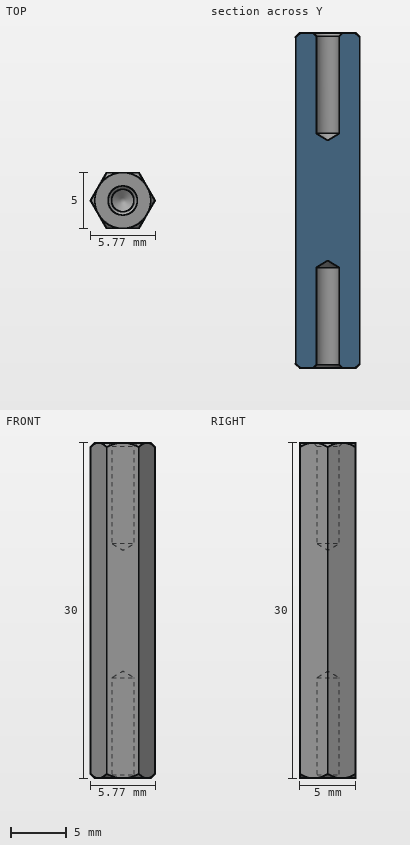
import cadquery as cq
import math

length = 30.0
across_flats = length / 6
across_corners = across_flats / math.cos(math.radians(30))

chamfer_angle = 45.0
end_face_radius = across_flats / 2
corner_radius = across_corners / 2
chamfer_height = (corner_radius - end_face_radius) * math.tan(math.radians(chamfer_angle))

hole_radius = 2.0 / 2
mouth_radius = 2.6 / 2
mouth_depth = mouth_radius - hole_radius
hole_depth = 9.0
drill_point_angle = 118.0
drill_point_depth = hole_radius / math.tan(math.radians(drill_point_angle / 2))


def revolve_profile(points):
    """Turn a closed (radius, height) outline about the Z axis."""
    return cq.Workplane("XZ").polyline(points).close().revolve(360, (0, 0), (0, 1))


def hex_body():
    """Hexagonal bar with its corners turned down at both ends."""
    half = length / 2
    bar = cq.Workplane("XY").polygon(6, across_corners).extrude(half, both=True)
    envelope = revolve_profile([
        (0, -half),
        (end_face_radius, -half),
        (corner_radius, -half + chamfer_height),
        (corner_radius, half - chamfer_height),
        (end_face_radius, half),
        (0, half),
    ])
    return bar.intersect(envelope)


def end_hole():
    """Cutter for the hole in the top end."""
    top = length / 2
    return revolve_profile([
        (0, top),
        (mouth_radius, top),
        (hole_radius, top - mouth_depth),
        (hole_radius, top - hole_depth),
        (0, top - hole_depth - drill_point_depth),
    ])


top_hole = end_hole()
bottom_hole = top_hole.mirror("XY")
result = hex_body().cut(top_hole).cut(bottom_hole)